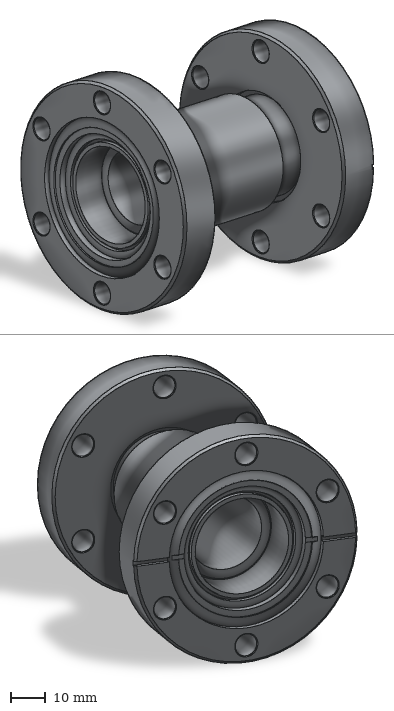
import cadquery as cq

total_length = 76.25
half_length = total_length / 2

flange_radius = 34.925
flange_thickness = 12.7
inner_face = half_length - flange_thickness
flange_edge_chamfer = 0.75

sleeve_radius = 17.75
sleeve_length = 38.0
neck_radius = 15.2
front_neck_length = 4.9
back_neck_length = total_length - 2 * flange_thickness - sleeve_length - front_neck_length
neck_end_chamfer = 0.45

clearance_radius = 16.8
clearance_depth = 2.0

seal_wall_radius = 24.1
seal_floor_depth = 1.75
knife_radius = 20.9
knife_depth = 0.6
ledge_depth = 1.2
ledge_bore_radius = 18.95
shoulder_depth = 3.4

weld_groove_outer_radius = 16.8
weld_groove_inner_radius = 15.85
weld_groove_depth = 1.5
weld_groove_floor = shoulder_depth + weld_groove_depth

neck_bore_radius = 14.6
spigot_length = 4.3
spigot_chamfer = 0.5
through_bore_radius = 11.35

bolt_count = 6
bolt_circle_radius = 29.35
bolt_hole_radius = 3.35
bolt_hole_chamfer = 0.25

leak_groove_width = 1.4
leak_groove_depth = 1.25


def cylinder(radius, start, end):
    """Solid cylinder about the Y axis, from y = start to y = end."""
    return cq.Workplane("XZ", origin=(0, start, 0)).circle(radius).extrude(start - end)


def revolved(profile):
    """Solid of revolution about the Y axis from (radius, y) points."""
    return cq.Workplane("XY").polyline(profile).close().revolve(360, (0, 0, 0), (0, 1, 0))


def flange():
    """Back flange: chamfered disc with the clearance for the neck in its inner face."""
    disc = cylinder(flange_radius, inner_face, half_length).edges().chamfer(flange_edge_chamfer)
    return disc.cut(cylinder(clearance_radius, inner_face, inner_face + clearance_depth))


def recess(neck_length):
    """Space to cut from the outer face of the back flange down to the end of the spigot."""
    spigot_depth = flange_thickness + neck_length - spigot_length
    steps = [
        (0, 0),
        (seal_wall_radius, 0),
        (seal_wall_radius, seal_floor_depth),
        (knife_radius, knife_depth),
        (knife_radius, ledge_depth),
        (ledge_bore_radius, ledge_depth),
        (ledge_bore_radius, shoulder_depth),
        (weld_groove_outer_radius, shoulder_depth),
        (weld_groove_outer_radius, weld_groove_floor),
        (weld_groove_inner_radius, weld_groove_floor),
        (weld_groove_inner_radius, shoulder_depth),
        (neck_bore_radius, shoulder_depth),
        (neck_bore_radius, spigot_depth + spigot_chamfer),
        (neck_bore_radius - spigot_chamfer, spigot_depth),
        (0, spigot_depth),
    ]
    return revolved([(radius, half_length - depth) for radius, depth in steps])


def bolt_hole():
    """Hole through the back flange at the top of the bolt circle, chamfered at both faces."""
    mouth_radius = bolt_hole_radius + bolt_hole_chamfer
    hole = revolved([
        (0, inner_face),
        (mouth_radius, inner_face),
        (bolt_hole_radius, inner_face + bolt_hole_chamfer),
        (bolt_hole_radius, half_length - bolt_hole_chamfer),
        (mouth_radius, half_length),
        (0, half_length),
    ])
    return hole.translate((0, 0, bolt_circle_radius))


def back_end(neck_length):
    """Flange and neck with the sealing face, the spigot's end and the bolt holes."""
    neck = cylinder(neck_radius, inner_face - neck_length, half_length)
    end = flange().union(neck.faces("<Y").chamfer(neck_end_chamfer))
    end = end.cut(recess(neck_length))
    for index in range(bolt_count):
        angle = index * 360 / bolt_count
        end = end.cut(bolt_hole().rotate((0, 0, 0), (0, 1, 0), angle))
    return end


def sleeve():
    return cylinder(sleeve_radius, front_neck_length - inner_face, inner_face - back_neck_length)


def leak_groove():
    groove = cq.Workplane("XY").box(2 * flange_radius, leak_groove_depth, leak_groove_width)
    return groove.translate((0, half_length - leak_groove_depth / 2, 0))


result = back_end(front_neck_length).mirror("XZ").union(sleeve()).union(back_end(back_neck_length))
result = result.cut(cylinder(through_bore_radius, -half_length, half_length))
result = result.cut(leak_groove())